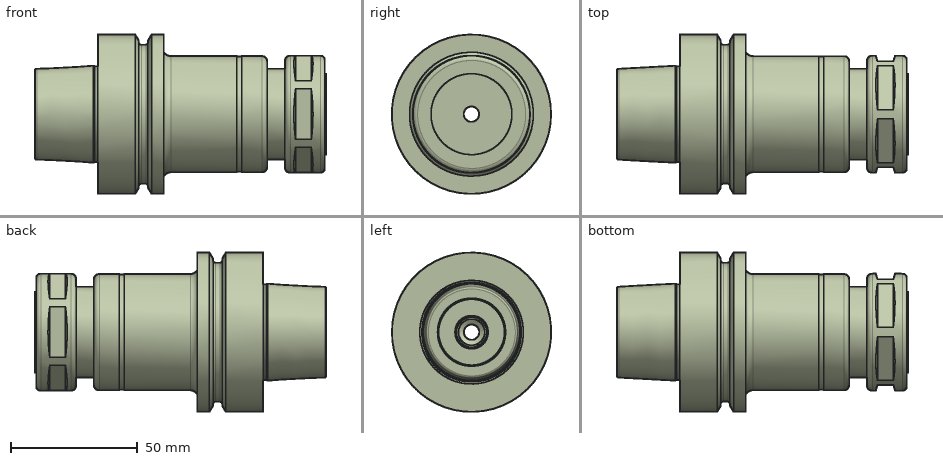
import cadquery as cq
import math

total_length = 115.0

taper_end_radius = 36.0 / 2
taper_big_radius = 19.2
taper_end_round = 0.8
taper_end_x = 23.0
relief_radius = 38.0 / 2
relief_start_x = 23.6

flange_radius = 63.0 / 2
flange_start_x = 24.8
flange_end_x = 51.0
recess_mouth_radius = 20.5
recess_depth = 0.3
recess_round = 0.7
groove_start_x = 39.6
groove_end_x = 46.1
groove_bevel_length = 1.5
groove_bevel_radius = 29.1
groove_floor_radius = 55.0 / 2
groove_floor_round = 0.9

shank_radius = 46.0 / 2
root_fillet_length = 2.8
root_fillet_radius = 3.3
band_radius = 45.7 / 2
band_start_x = 79.7
band_end_x = 81.6
shank_end_x = 91.8
shank_end_round = 2.2
neck_radius = 36.0 / 2

nut_radius = 46.3 / 2
nut_start_x = 98.7
nut_end_x = 114.5
nut_back_round = 2.2
nut_front_round = 1.8
nose_radius = 32.0 / 2
flat_count = 6
flat_distance = 20.9
flat_start_x = 102.9
flat_end_x = 109.1
flat_wall_run = 0.7

bore_radius = 26.0 / 2
bore_chamfer = 0.5
bore_chamfer_length = 0.9
undercut_radius = 28.0 / 2
undercut_start_x = 9.4
undercut_floor_chamfer = 0.3
bore_depth = 19.0
counterbore_radius = 12.0 / 2
counterbore_chamfer = 0.6
counterbore_depth = 9.2
cone_mouth_radius = 5.2
through_radius = 6.0 / 2
cone_half_angle = math.radians(59)


def quarter_round(profile, corner, start, end):
    """Draw a convex or concave quarter arc from start to end, both tangent to the corner's sides."""
    center = (start[0] + end[0] - corner[0], start[1] + end[1] - corner[1])
    middle = tuple(c + (k - c) * math.sqrt(0.5) for c, k in zip(center, corner))
    return profile.lineTo(*start).threePointArc(middle, end)


def rise_then_round(profile, x, radius, size):
    """Round an outer edge where an end face meets a cylinder beyond it."""
    return quarter_round(profile, (x, radius), (x, radius - size), (x + size, radius))


def round_then_drop(profile, x, radius, size):
    """Round an outer edge where a cylinder meets the end face beyond it."""
    return quarter_round(profile, (x, radius), (x - size, radius), (x, radius - size))


def add_taper(profile):
    profile = rise_then_round(profile, 0, taper_end_radius, taper_end_round)
    profile = profile.lineTo(taper_end_x, taper_big_radius)
    return profile.lineTo(relief_start_x, relief_radius)


def add_flange(profile):
    recess_floor_x = flange_start_x + recess_depth
    left_wall_x = groove_start_x + groove_bevel_length
    right_wall_x = groove_end_x - groove_bevel_length
    round_top_radius = groove_floor_radius + groove_floor_round

    profile = quarter_round(
        profile,
        (recess_floor_x, relief_radius),
        (recess_floor_x - recess_round, relief_radius),
        (recess_floor_x, relief_radius + recess_round),
    )
    profile = (
        profile.lineTo(flange_start_x, recess_mouth_radius)
        .lineTo(flange_start_x, flange_radius)
        .lineTo(groove_start_x, flange_radius)
        .lineTo(left_wall_x, groove_bevel_radius)
    )
    profile = quarter_round(
        profile,
        (left_wall_x, groove_floor_radius),
        (left_wall_x, round_top_radius),
        (left_wall_x + groove_floor_round, groove_floor_radius),
    )
    profile = quarter_round(
        profile,
        (right_wall_x, groove_floor_radius),
        (right_wall_x - groove_floor_round, groove_floor_radius),
        (right_wall_x, round_top_radius),
    )
    return (
        profile.lineTo(right_wall_x, groove_bevel_radius)
        .lineTo(groove_end_x, flange_radius)
        .lineTo(flange_end_x, flange_radius)
    )


def add_shank(profile):
    fillet_end_x = flange_end_x + root_fillet_length
    fillet_center_radius = shank_radius + root_fillet_radius
    sweep = math.asin(root_fillet_length / root_fillet_radius)

    def fillet_point(angle):
        return (
            fillet_end_x - root_fillet_radius * math.sin(angle),
            fillet_center_radius - root_fillet_radius * math.cos(angle),
        )

    profile = (
        profile.lineTo(*fillet_point(sweep))
        .threePointArc(fillet_point(sweep / 2), fillet_point(0))
        .lineTo(band_start_x, shank_radius)
        .lineTo(band_start_x, band_radius)
        .lineTo(band_end_x, band_radius)
        .lineTo(band_end_x, shank_radius)
    )
    profile = round_then_drop(profile, shank_end_x, shank_radius, shank_end_round)
    return profile.lineTo(shank_end_x, neck_radius).lineTo(nut_start_x, neck_radius)


def add_nut(profile):
    profile = rise_then_round(profile, nut_start_x, nut_radius, nut_back_round)
    profile = round_then_drop(profile, nut_end_x, nut_radius, nut_front_round)
    return (
        profile.lineTo(nut_end_x, nose_radius)
        .lineTo(total_length, nose_radius)
        .lineTo(total_length, 0)
    )


def revolve_about_x(profile):
    return profile.close().revolve(360, (0, 0, 0), (1, 0, 0))


def make_body():
    profile = cq.Workplane("XY").moveTo(0, 0)
    for add_section in (add_taper, add_flange, add_shank, add_nut):
        profile = add_section(profile)
    return revolve_about_x(profile)


def make_bore():
    cone_start_x = bore_depth + counterbore_depth
    cone_length = (cone_mouth_radius - through_radius) / math.tan(cone_half_angle)
    cone_end_x = cone_start_x + cone_length
    return revolve_about_x(
        cq.Workplane("XY")
        .moveTo(0, 0)
        .lineTo(0, bore_radius + bore_chamfer)
        .lineTo(bore_chamfer_length, bore_radius)
        .lineTo(undercut_start_x, bore_radius)
        .lineTo(undercut_start_x, undercut_radius)
        .lineTo(bore_depth - undercut_floor_chamfer, undercut_radius)
        .lineTo(bore_depth, undercut_radius - undercut_floor_chamfer)
        .lineTo(bore_depth, counterbore_radius + counterbore_chamfer)
        .lineTo(bore_depth + counterbore_chamfer, counterbore_radius)
        .lineTo(cone_start_x, counterbore_radius)
        .lineTo(cone_start_x, cone_mouth_radius)
        .lineTo(cone_end_x, through_radius)
        .lineTo(total_length, through_radius)
        .lineTo(total_length, 0)
    )


def make_flat_cutter():
    """Wrench-flat slot on the +Y side, its end walls flaring outwards."""
    flat_rise = nut_radius - flat_distance
    return (
        cq.Workplane("XY")
        .moveTo(flat_start_x, flat_distance)
        .lineTo(flat_start_x - flat_wall_run, flat_distance + flat_rise)
        .lineTo(flat_end_x + flat_wall_run, flat_distance + flat_rise)
        .lineTo(flat_end_x, flat_distance)
        .close()
        .extrude(nut_radius, both=True)
    )


result = make_body().cut(make_bore())
for index in range(flat_count):
    flat_angle = index * 360 / flat_count
    result = result.cut(make_flat_cutter().rotate((0, 0, 0), (1, 0, 0), flat_angle))